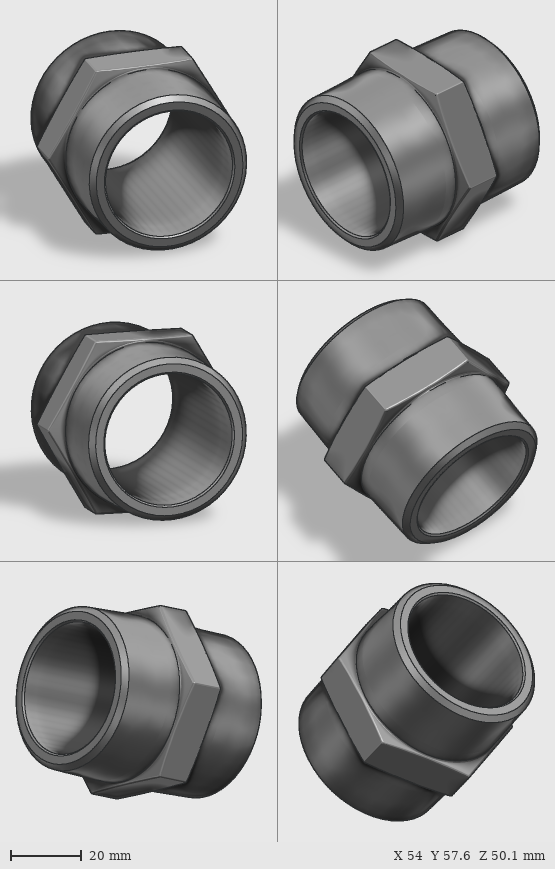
import cadquery as cq
import math

length = 54.0
across_flats = 50.05
across_corners = 57.6
bore_diameter = 38.0
collar_diameter = 48.1

collar_half_length = 9.9
taper_per_length = 1 / 16
end_chamfer_length = 1.5
end_face_diameter = 43.9
bore_chamfer = 0.5

hex_root_half_width = 6.0
hex_side_slope = 10.0
root_fillet = 0.5

clearance = 0.6

half_length = length / 2
bore_radius = bore_diameter / 2
collar_radius = collar_diameter / 2
corner_ratio = 1 / math.cos(math.radians(30))
sharp_corners = across_flats * corner_ratio
hex_edge_round = (sharp_corners - across_corners) / 2 / (corner_ratio - 1)


def turned(outline):
    """Solid of revolution about X from a list of (x, radius) points."""
    return cq.Workplane("XZ").polyline(outline).close().revolve(360, (0, 0, 0), (1, 0, 0))


def nipple_body():
    """Solid round body with a straight middle, tapered ends and chamfered tips."""
    tip = half_length - end_chamfer_length
    tip_radius = collar_radius - (tip - collar_half_length) * taper_per_length / 2
    end_radius = end_face_diameter / 2
    outline = [
        (-half_length, 0),
        (-half_length, end_radius),
        (-tip, tip_radius),
        (-collar_half_length, collar_radius),
        (collar_half_length, collar_radius),
        (tip, tip_radius),
        (half_length, end_radius),
        (half_length, 0),
    ]
    return turned(outline)


def double_cone():
    """Disc whose two conical sides close in toward the hexagon corners."""
    slope = math.tan(math.radians(hex_side_slope))
    outer_radius = sharp_corners / 2 + clearance
    axis_half_width = hex_root_half_width + collar_radius * slope
    rim_half_width = hex_root_half_width - (outer_radius - collar_radius) * slope
    outline = [
        (-axis_half_width, 0),
        (-rim_half_width, outer_radius),
        (rim_half_width, outer_radius),
        (axis_half_width, 0),
    ]
    return turned(outline)


def hexagon():
    """Hexagon with corners on the Y axis, conical sides and rounded edges."""
    prism = cq.Workplane("YZ").polygon(6, sharp_corners).extrude(half_length, both=True)
    blank = prism.intersect(double_cone())
    return blank.edges("|X or (not %LINE)").fillet(hex_edge_round)


def bore():
    """Through bore that opens out in a chamfer at both ends."""
    outline = [
        (-half_length, 0),
        (-half_length, bore_radius + bore_chamfer),
        (-half_length + bore_chamfer, bore_radius),
        (half_length - bore_chamfer, bore_radius),
        (half_length, bore_radius + bore_chamfer),
        (half_length, 0),
    ]
    return turned(outline)


root_zone = cq.selectors.BoxSelector(
    (-hex_root_half_width - clearance, -collar_radius, -collar_radius),
    (hex_root_half_width + clearance, collar_radius, collar_radius),
)

body = nipple_body().union(hexagon())
result = body.edges("%CIRCLE").edges(root_zone).fillet(root_fillet).cut(bore())